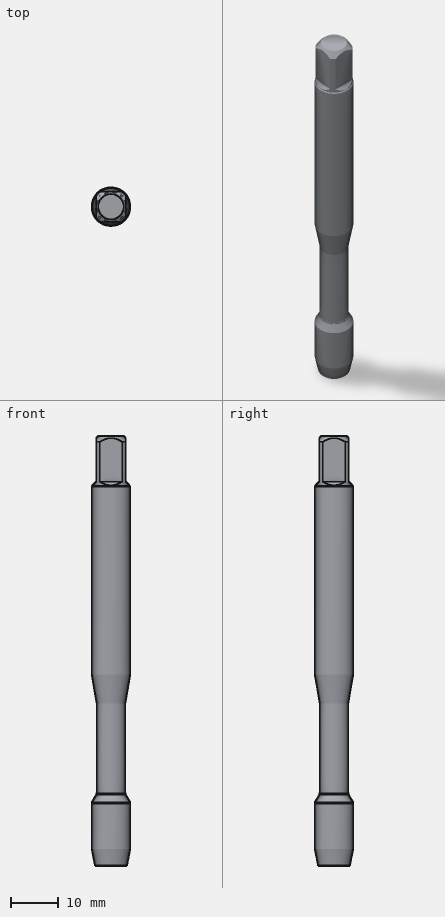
import cadquery as cq

total_length = 90.1
shank_diameter = 8.1
neck_diameter = 6.0

tip_diameter = 6.8
tip_chamfer = 0.3
lead_length = 3.7
thread_length = 13.15
thread_diameter = shank_diameter
collar_length = 0.3
shoulder_length = 1.6
root_diameter = 6.1
root_length = 0.3

neck_end = 34.15
shank_start = 40.2

corner_diameter = 7.75
corner_cone_length = 0.2
across_flats = 6.2
flat_length = 9.55
square_length = 10.6
top_diameter = 5.3

tip_radius = tip_diameter / 2
thread_radius = thread_diameter / 2
root_radius = root_diameter / 2
neck_radius = neck_diameter / 2
shank_radius = shank_diameter / 2
corner_radius = corner_diameter / 2
top_radius = top_diameter / 2
top_chamfer = corner_radius - top_radius
shoulder_base = thread_length + collar_length
shoulder_top = shoulder_base + shoulder_length
square_base = total_length - square_length
flat_base = total_length - flat_length


def revolve_profile(points):
    """Revolve (radius, height) points about the Z axis."""
    return cq.Workplane("XZ").polyline(points).close().revolve(360, (0, 0), (0, 1))


def make_thread():
    """Threading section with a tapered lead at its tip."""
    return revolve_profile([
        (0, 0),
        (tip_radius - tip_chamfer, 0),
        (tip_radius, tip_chamfer),
        (thread_radius, lead_length),
        (thread_radius, thread_length),
        (0, thread_length),
    ])


def flat_cutter():
    """Block beyond the +X flat, with a 45 degree ramp at its lower end."""
    flat = across_flats / 2
    outside = shank_diameter
    return (
        cq.Workplane("XZ")
        .polyline([
            (flat, flat_base),
            (outside, flat_base - (outside - flat)),
            (outside, total_length),
            (flat, total_length),
        ])
        .close()
        .extrude(shank_radius, both=True)
    )


def make_shank():
    """Shoulder with a small root step, neck, shank and square drive."""
    shank = revolve_profile([
        (0, thread_length),
        (thread_radius, thread_length),
        (thread_radius, shoulder_base),
        (root_radius, shoulder_top),
        (root_radius, shoulder_top + root_length),
        (neck_radius, shoulder_top + root_length),
        (neck_radius, neck_end),
        (shank_radius, shank_start),
        (shank_radius, square_base),
        (corner_radius, square_base + corner_cone_length),
        (corner_radius, total_length - top_chamfer),
        (top_radius, total_length),
        (0, total_length),
    ])
    cutter = flat_cutter()
    for side in range(4):
        shank = shank.cut(cutter.rotate((0, 0, 0), (0, 0, 1), 90 * side))
    return shank


thread = make_thread()
shank = make_shank()
result = cq.Compound.makeCompound([thread.val(), shank.val()])